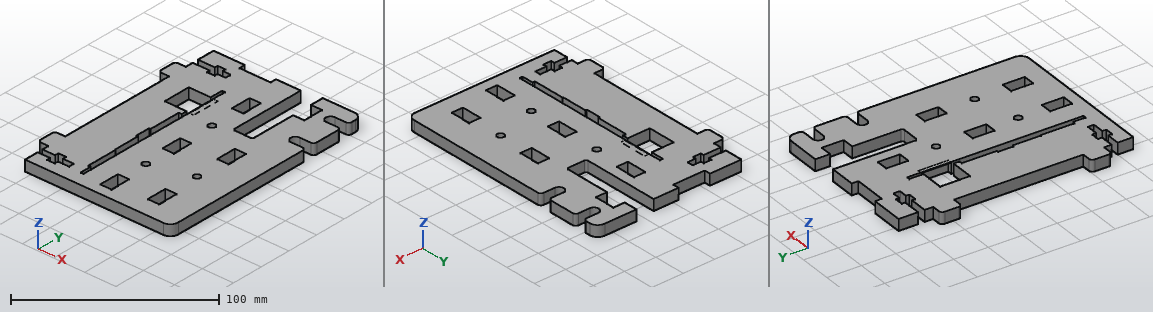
import cadquery as cq

SHEET_THICKNESS = 6.8
BODY_WIDTH = 94.0
BODY_HEIGHT = 138.0
LEFT_PART_HEIGHT = 136.2
OUTER_CORNER_RADIUS = 5.0

TAB_LENGTH = SHEET_THICKNESS
TAB_WIDTH = 12.1
TAB_CENTERS_Y = (23.0, 110.1)
TAB_CORNER_RADIUS = 2.0

TOP_NOTCH_LEFT = 20.1
TOP_NOTCH_WIDTH = 20.0
TOP_NOTCH_DEPTH = 3.9

WINDOW_WIDTH = 7.2
WINDOW_HEIGHT = 12.8
LEFT_COLUMN_X = 46.0
RIGHT_COLUMN_X = 72.2
WINDOW_PITCH = 50.1
LEFT_MIDDLE_WINDOW_Y = 58.1
LEFT_WINDOWS_Y = (13.1, LEFT_MIDDLE_WINDOW_Y, LEFT_MIDDLE_WINDOW_Y + WINDOW_PITCH)
RIGHT_LOWEST_WINDOW_Y = 18.0
RIGHT_WINDOWS_Y = (RIGHT_LOWEST_WINDOW_Y, RIGHT_LOWEST_WINDOW_Y + WINDOW_PITCH, 123.0)

CHANNEL_LEFT = 56.1
CHANNEL_RIGHT = RIGHT_COLUMN_X - WINDOW_WIDTH / 2
CHANNEL_BOTTOM = 87.2
CHANNEL_CORNER_RADIUS = 1.2

EDGE_SLOT_WIDTH = 6.0
EDGE_SLOT_DEPTH = 12.2
EDGE_SLOTS_Y = (100.0, 125.4)
EDGE_SLOT_MOUTH_RADIUS = 2.0

NUT_POCKET_WIDTH = 5.0
UPPER_SCREW_Y = 123.0
UPPER_SCREW_WIDTH = 3.8
UPPER_SCREW_DEPTH = 21.2
UPPER_SCREW_END_RADIUS = 0.5
UPPER_NUT_X = 13.45
UPPER_NUT_HEIGHT = 7.8
LOWER_SCREW_Y = 10.9
LOWER_SCREW_WIDTH = 3.5
LOWER_SCREW_DEPTH = 20.2
LOWER_NUT_X = 10.6
LOWER_NUT_HEIGHT = 8.2

HOLE_DIAMETER = 4.3
HOLE_CENTERS = ((LEFT_COLUMN_X, 35.6), (RIGHT_COLUMN_X, 43.1), (LEFT_COLUMN_X, 83.3))

SLIT_RIGHT = 29.9
SLIT_BOTTOM = 8.7
SLIT_NARROW_LEFT = 28.0
WIDE_STEP_LEFT = 13.9
WIDE_STEP_BOTTOM = 85.3
WIDE_STEP_TOP = 102.7
SLIT_STEPS = (
    (SLIT_NARROW_LEFT, 16.0),
    (26.5, 35.8),
    (26.1, 52.3),
    (25.1, 61.5),
    (26.1, 81.8),
    (SLIT_NARROW_LEFT, WIDE_STEP_BOTTOM),
    (WIDE_STEP_LEFT, WIDE_STEP_TOP),
    (SLIT_NARROW_LEFT, 110.9),
)

RECESS_DEPTH = 2.6
RECESS_ROOF_THICKNESS = 0.5


def box(left, right, bottom, top):
    """Full-thickness block between the given sides."""
    return (
        cq.Workplane("XY")
        .rect(right - left, top - bottom)
        .extrude(SHEET_THICKNESS)
        .translate(((left + right) / 2, (bottom + top) / 2, 0))
    )


def centered_box(x, y, width, height):
    return box(x - width / 2, x + width / 2, y - height / 2, y + height / 2)


def make_body():
    body = box(0, BODY_WIDTH, 0, BODY_HEIGHT).edges("|Z and >X").fillet(OUTER_CORNER_RADIUS)
    return body.cut(box(0, CHANNEL_LEFT, LEFT_PART_HEIGHT, BODY_HEIGHT))


def make_tab(y):
    tab = centered_box(0, y, 2 * TAB_LENGTH, TAB_WIDTH)
    return tab.edges("|Z and <X").fillet(TAB_CORNER_RADIUS)


def make_top_notch():
    right = TOP_NOTCH_LEFT + TOP_NOTCH_WIDTH
    return box(TOP_NOTCH_LEFT, right, LEFT_PART_HEIGHT - TOP_NOTCH_DEPTH, LEFT_PART_HEIGHT)


def make_channel():
    channel = box(CHANNEL_LEFT, CHANNEL_RIGHT, CHANNEL_BOTTOM, BODY_HEIGHT)
    return channel.edges("|Z and <Y").fillet(CHANNEL_CORNER_RADIUS)


def make_edge_slot(y):
    """Round-ended slot whose mouth flares out tangentially to the right edge."""
    half = EDGE_SLOT_WIDTH / 2
    mouth = EDGE_SLOT_MOUTH_RADIUS
    slot_end = BODY_WIDTH - EDGE_SLOT_DEPTH
    return (
        cq.Workplane("XY")
        .moveTo(BODY_WIDTH, y - half - mouth)
        .radiusArc((BODY_WIDTH - mouth, y - half), -mouth)
        .lineTo(slot_end + half, y - half)
        .threePointArc((slot_end, y), (slot_end + half, y + half))
        .lineTo(BODY_WIDTH - mouth, y + half)
        .radiusArc((BODY_WIDTH, y + half + mouth), -mouth)
        .close()
        .extrude(SHEET_THICKNESS)
    )


def make_screw_slot(y, width, depth):
    return box(0, depth, y - width / 2, y + width / 2)


def make_slit():
    outline = cq.Workplane("XY").moveTo(SLIT_RIGHT, SLIT_BOTTOM)
    previous_top = SLIT_BOTTOM
    for left, top in SLIT_STEPS:
        outline = outline.lineTo(left, previous_top).lineTo(left, top)
        previous_top = top
    return outline.lineTo(SLIT_RIGHT, previous_top).close().extrude(SHEET_THICKNESS)


def make_recess():
    full_height = box(SLIT_RIGHT, SLIT_RIGHT + RECESS_DEPTH, WIDE_STEP_BOTTOM, WIDE_STEP_TOP)
    return full_height.translate((0, 0, -RECESS_ROOF_THICKNESS))


def make_hole(x, y):
    return cq.Workplane("XY").center(x, y).circle(HOLE_DIAMETER / 2).extrude(SHEET_THICKNESS)


plate = make_body()
for tab_y in TAB_CENTERS_Y:
    plate = plate.union(make_tab(tab_y))

plate = plate.cut(make_top_notch()).cut(make_channel()).cut(make_slit()).cut(make_recess())

for slot_y in EDGE_SLOTS_Y:
    plate = plate.cut(make_edge_slot(slot_y))

for column_x, windows_y in ((LEFT_COLUMN_X, LEFT_WINDOWS_Y), (RIGHT_COLUMN_X, RIGHT_WINDOWS_Y)):
    for window_y in windows_y:
        plate = plate.cut(centered_box(column_x, window_y, WINDOW_WIDTH, WINDOW_HEIGHT))

for hole_x, hole_y in HOLE_CENTERS:
    plate = plate.cut(make_hole(hole_x, hole_y))

upper_screw_slot = make_screw_slot(UPPER_SCREW_Y, UPPER_SCREW_WIDTH, UPPER_SCREW_DEPTH)
plate = plate.cut(upper_screw_slot.edges("|Z and >X").fillet(UPPER_SCREW_END_RADIUS))
plate = plate.cut(centered_box(UPPER_NUT_X, UPPER_SCREW_Y, NUT_POCKET_WIDTH, UPPER_NUT_HEIGHT))

plate = plate.cut(make_screw_slot(LOWER_SCREW_Y, LOWER_SCREW_WIDTH, LOWER_SCREW_DEPTH))
plate = plate.cut(centered_box(LOWER_NUT_X, LOWER_SCREW_Y, NUT_POCKET_WIDTH, LOWER_NUT_HEIGHT))

result = plate